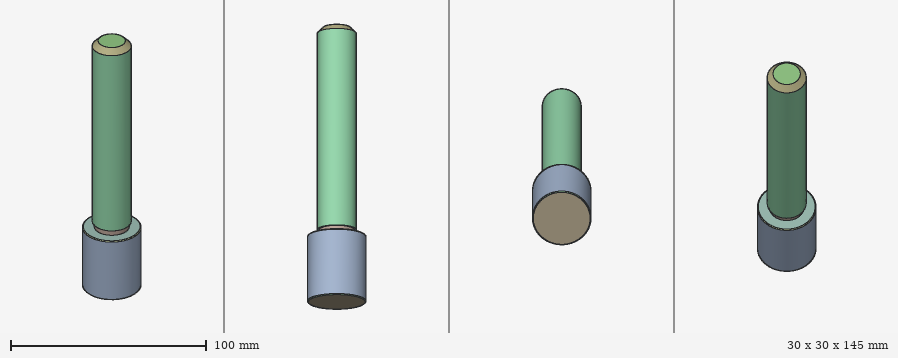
import cadquery as cq

total_length = 145.0
head_diameter = 30.0
head_height = 35.0
head_chamfer = 0.5

shank_diameter = 20.0
shank_tip_chamfer = 3.0
neck_diameter = 18.0
neck_height = 3.2


def cylinder(diameter, bottom, top):
    """Upright cylinder on the Z axis between two heights."""
    return cq.Workplane("XY").workplane(offset=bottom).circle(diameter / 2).extrude(top - bottom)


head = cylinder(head_diameter, 0, head_height).edges().chamfer(head_chamfer)

shank_bottom = head_height + neck_height
neck = cylinder(neck_diameter, head_height, shank_bottom)

shank = cylinder(shank_diameter, shank_bottom, total_length).faces(">Z").chamfer(shank_tip_chamfer)

result = head.union(neck).union(shank)